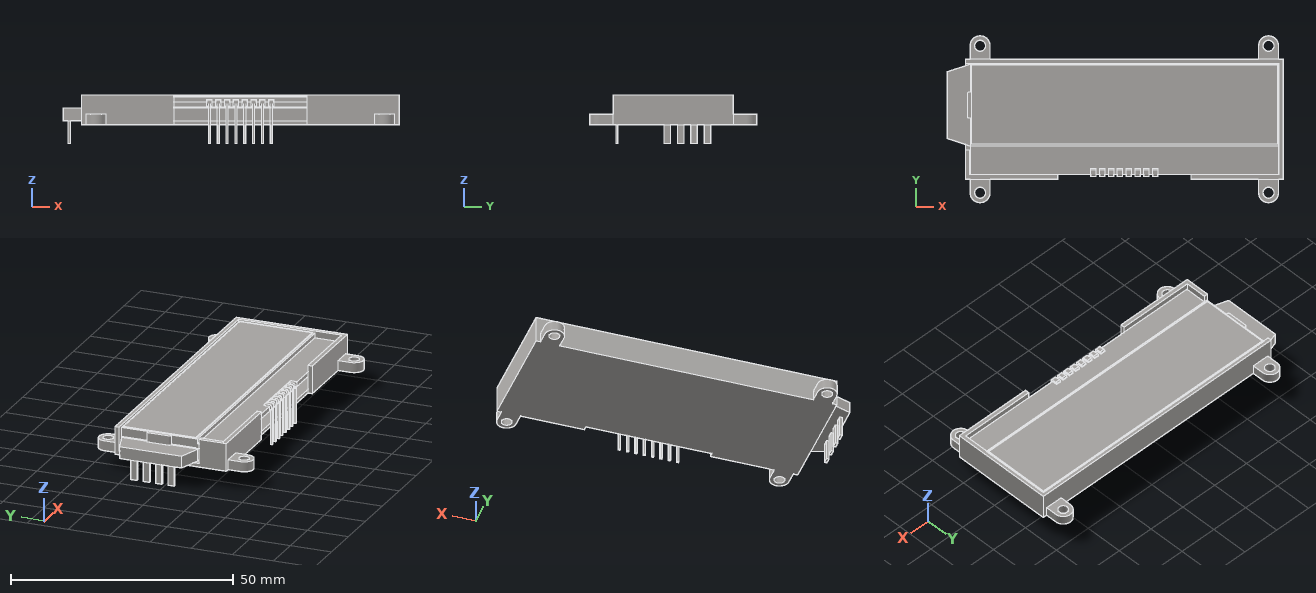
import cadquery as cq
import math

TOTAL_LENGTH = 75.7
TOTAL_WIDTH = 37.6
TOTAL_HEIGHT = 11.0

HOUSING_LENGTH = 71.6
HOUSING_WIDTH = 27.1
HOUSING_HEIGHT = 6.7
WALL = 1.0
FRONT_WALL = 1.05
FLOOR = 0.9
NOTCH_LENGTH = 30.0
WINDOW_WIDTH = 19.5
EAR_WIDTH = 4.55
EAR_THICKNESS = 2.4
EAR_HOLE_DIAMETER = 2.4
EAR_INSET = 3.3

CONNECTOR_TIP_WIDTH = 15.1
LEG_COUNT = 4
LEG_PITCH = 3.0
LEG_WIDTH = 1.5
LEG_THICKNESS = 0.6
LEG_SETBACK = 1.4

GLASS_GAP = 0.15
GLASS_THICKNESS = 1.1
DISPLAY_RECESS = 0.2
POLARIZER_THICKNESS = 0.2
POLARIZER_INSET = 0.2
POLARIZER_FRONT_INSET = 0.45
UPPER_GLASS_WIDTH = 18.5
SEAL_LENGTH = 5.9
SEAL_DEPTH = 0.7
SEAL_RADIUS = 0.45

PIN_COUNT = 8
PIN_ROW_LENGTH = 13.9
PIN_PITCH = PIN_ROW_LENGTH / (PIN_COUNT - 1)
PIN_WIDTH = 0.49
PIN_THICKNESS = 0.45
CLIP_WIDTH = 1.2
CLIP_DEPTH = 1.8
CLIP_TIP_LENGTH = 0.5
CLIP_TIP_RISE = 0.1
CLIP_TIP_DROP = 0.2
FINGER_CLEARANCE = 0.2

HOUSING_LEFT = -HOUSING_LENGTH / 2
HOUSING_BACK = HOUSING_WIDTH / 2
CAVITY_LENGTH = HOUSING_LENGTH - 2 * WALL
CAVITY_BACK = HOUSING_BACK - WALL
CAVITY_FRONT = FRONT_WALL - HOUSING_BACK
CONNECTOR_LEFT = HOUSING_LENGTH / 2 - TOTAL_LENGTH
PIN_BOTTOM = HOUSING_HEIGHT - TOTAL_HEIGHT
GLASS_LENGTH = CAVITY_LENGTH - 2 * GLASS_GAP
GLASS_LEFT = -GLASS_LENGTH / 2
GLASS_BACK = CAVITY_BACK - GLASS_GAP
GLASS_FRONT = CAVITY_FRONT
UPPER_GLASS_FRONT = GLASS_BACK - UPPER_GLASS_WIDTH
UPPER_GLASS_CENTER = GLASS_BACK - UPPER_GLASS_WIDTH / 2
UPPER_POLARIZER_TOP = HOUSING_HEIGHT - DISPLAY_RECESS
UPPER_GLASS_TOP = UPPER_POLARIZER_TOP - POLARIZER_THICKNESS
LOWER_GLASS_TOP = UPPER_GLASS_TOP - GLASS_THICKNESS
LOWER_GLASS_BOTTOM = LOWER_GLASS_TOP - GLASS_THICKNESS
BACKLIGHT_TOP = LOWER_GLASS_BOTTOM - POLARIZER_THICKNESS


def block(left, right, front, back, bottom, top):
    """Box between the given limits along X, Y and Z."""
    return cq.Workplane("XY").box(right - left, back - front, top - bottom, centered=False).translate(
        (left, front, bottom)
    )


def make_ear(side_x, side_y):
    """Round-ended mounting ear, joined to a long side of the housing."""
    center_x = side_x * (HOUSING_LENGTH / 2 - EAR_INSET)
    hole_y = side_y * (TOTAL_WIDTH - EAR_WIDTH) / 2
    wall_y = side_y * (HOUSING_BACK - WALL / 2)
    half = EAR_WIDTH / 2
    return (
        cq.Workplane("XY")
        .moveTo(center_x - half, wall_y)
        .lineTo(center_x - half, hole_y)
        .threePointArc((center_x, hole_y + side_y * half), (center_x + half, hole_y))
        .lineTo(center_x + half, wall_y)
        .close()
        .moveTo(center_x, hole_y)
        .circle(EAR_HOLE_DIAMETER / 2)
        .extrude(EAR_THICKNESS)
    )


def make_backlight():
    """Plate under the display that tapers out through the window and carries the legs."""
    tip_back = UPPER_GLASS_CENTER + CONNECTOR_TIP_WIDTH / 2
    tip_front = UPPER_GLASS_CENTER - CONNECTOR_TIP_WIDTH / 2
    backlight = (
        cq.Workplane("XY")
        .workplane(offset=FLOOR)
        .polyline(
            [
                (CONNECTOR_LEFT, tip_front),
                (GLASS_LEFT, UPPER_GLASS_FRONT),
                (CAVITY_LENGTH / 2, UPPER_GLASS_FRONT),
                (CAVITY_LENGTH / 2, GLASS_BACK),
                (GLASS_LEFT, GLASS_BACK),
                (CONNECTOR_LEFT, tip_back),
            ]
        )
        .close()
        .extrude(BACKLIGHT_TOP - FLOOR)
    )
    leg_x = CONNECTOR_LEFT + LEG_SETBACK
    for index in range(LEG_COUNT):
        leg_y = UPPER_GLASS_CENTER + (index - (LEG_COUNT - 1) / 2) * LEG_PITCH
        backlight = backlight.union(
            block(
                leg_x - LEG_THICKNESS / 2,
                leg_x + LEG_THICKNESS / 2,
                leg_y - LEG_WIDTH / 2,
                leg_y + LEG_WIDTH / 2,
                PIN_BOTTOM,
                BACKLIGHT_TOP,
            )
        )
    return backlight


def make_housing():
    """Tray with its notch, window and ears, and the backlight moulded in."""
    tray = cq.Workplane("XY").box(
        HOUSING_LENGTH, HOUSING_WIDTH, HOUSING_HEIGHT, centered=(True, True, False)
    )
    for side_x in (-1, 1):
        for side_y in (-1, 1):
            tray = tray.union(make_ear(side_x, side_y))
    cavity = block(
        -CAVITY_LENGTH / 2, CAVITY_LENGTH / 2, CAVITY_FRONT, CAVITY_BACK, FLOOR, HOUSING_HEIGHT
    )
    notch = block(
        -NOTCH_LENGTH / 2, NOTCH_LENGTH / 2, -HOUSING_BACK, CAVITY_FRONT, 0, HOUSING_HEIGHT
    )
    window = block(
        HOUSING_LEFT, HOUSING_LEFT + WALL, CAVITY_BACK - WINDOW_WIDTH, CAVITY_BACK, FLOOR, HOUSING_HEIGHT
    )
    return tray.cut(cavity).cut(notch).cut(window).union(make_backlight())


def make_polarizer(bottom):
    """Film set in from the edges of the upper glass, with its underside at the given height."""
    return block(
        GLASS_LEFT + POLARIZER_INSET,
        -GLASS_LEFT - POLARIZER_INSET,
        UPPER_GLASS_FRONT + POLARIZER_FRONT_INSET,
        GLASS_BACK - POLARIZER_INSET,
        bottom,
        bottom + POLARIZER_THICKNESS,
    )


def make_display():
    """Bonded stack of polarizer, lower glass, narrower upper glass and polarizer."""
    lower_glass = block(
        GLASS_LEFT, -GLASS_LEFT, GLASS_FRONT, GLASS_BACK, LOWER_GLASS_BOTTOM, LOWER_GLASS_TOP
    )
    upper_glass = block(
        GLASS_LEFT, -GLASS_LEFT, UPPER_GLASS_FRONT, GLASS_BACK, LOWER_GLASS_TOP, UPPER_GLASS_TOP
    )
    seal = block(
        GLASS_LEFT - SEAL_DEPTH,
        GLASS_LEFT,
        UPPER_GLASS_CENTER - SEAL_LENGTH / 2,
        UPPER_GLASS_CENTER + SEAL_LENGTH / 2,
        LOWER_GLASS_BOTTOM,
        UPPER_GLASS_TOP,
    )
    seal = seal.edges("|Z and <X").fillet(SEAL_RADIUS)
    return (
        lower_glass.union(upper_glass)
        .union(seal)
        .union(make_polarizer(BACKLIGHT_TOP))
        .union(make_polarizer(UPPER_GLASS_TOP))
    )


def make_pin(center_x):
    """Sheet-metal pin: a leaf on the glass, two round-ended fingers before its edge and a leg between."""
    front = GLASS_FRONT - PIN_THICKNESS
    leaf_top = LOWER_GLASS_TOP + PIN_THICKNESS
    leaf_back = front + CLIP_DEPTH
    tip_start = leaf_back - CLIP_TIP_LENGTH
    ridge = leaf_back - CLIP_TIP_LENGTH / 2
    finger_bottom = LOWER_GLASS_BOTTOM + FINGER_CLEARANCE
    finger_bend = finger_bottom + PIN_THICKNESS
    arc_middle = PIN_THICKNESS * (1 - math.sqrt(0.5))
    clip = (
        cq.Workplane("YZ")
        .moveTo(GLASS_FRONT, LOWER_GLASS_TOP)
        .lineTo(leaf_back, LOWER_GLASS_TOP)
        .lineTo(leaf_back, leaf_top - CLIP_TIP_DROP)
        .lineTo(ridge, leaf_top + CLIP_TIP_RISE)
        .lineTo(tip_start, leaf_top)
        .lineTo(GLASS_FRONT, leaf_top)
        .threePointArc((front + arc_middle, leaf_top - arc_middle), (front, LOWER_GLASS_TOP))
        .lineTo(front, finger_bend)
        .threePointArc((front + arc_middle, finger_bottom + arc_middle), (GLASS_FRONT, finger_bottom))
        .close()
        .extrude(CLIP_WIDTH / 2, both=True)
    )
    leg = block(-PIN_WIDTH / 2, PIN_WIDTH / 2, front, GLASS_FRONT, PIN_BOTTOM, LOWER_GLASS_TOP)
    return clip.union(leg).translate((center_x, 0, 0))


housing = make_housing()
display = make_display()
pins = [make_pin((index - (PIN_COUNT - 1) / 2) * PIN_PITCH) for index in range(PIN_COUNT)]

result = cq.Compound.makeCompound([housing.val(), display.val(), *[pin.val() for pin in pins]])